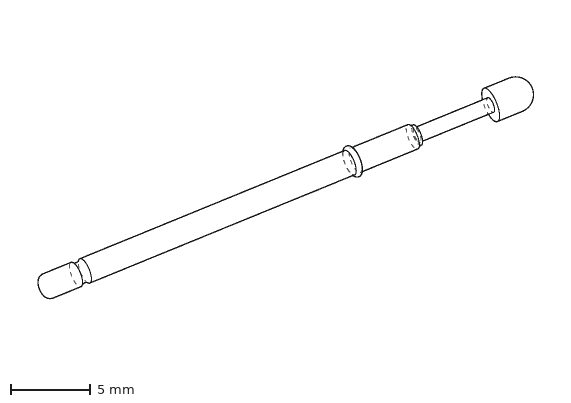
import cadquery as cq
import math

total_length = 35.7

head_diameter = 2.3
head_length = 2.95
plunger_diameter = 1.0
plunger_length = 5.35

barrel_diameter = 1.68
tail_rounding = 0.45

ring_diameter = 2.1
ring_center = 22.67

groove_center = 2.82
groove_width = 0.65
groove_depth = 0.15

head_radius = head_diameter / 2
plunger_radius = plunger_diameter / 2
barrel_radius = barrel_diameter / 2
ring_radius = ring_diameter / 2
bead_radius = ring_radius - barrel_radius

groove_half_width = groove_width / 2
hollow_radius = (groove_half_width**2 + groove_depth**2) / (2 * groove_depth)
floor_radius = barrel_radius - groove_depth

dome_base = total_length - head_radius
head_base = total_length - head_length
barrel_end = head_base - plunger_length
neck_start = barrel_end - groove_half_width


def hollow_middle(center, side):
    """Point halfway along one half of a hollow as (Y, radius); side is -1 or +1 along Y."""
    half_angle = math.asin(groove_half_width / hollow_radius) / 2
    y = center + side * hollow_radius * math.sin(half_angle)
    radius = floor_radius + hollow_radius * (1 - math.cos(half_angle))
    return y, radius


tail_arc_middle = (
    tail_rounding * (1 - math.sqrt(0.5)),
    barrel_radius - tail_rounding * (1 - math.sqrt(0.5)),
)
dome_arc_middle = (
    dome_base + head_radius * math.sqrt(0.5),
    head_radius * math.sqrt(0.5),
)

half_section = (
    cq.Workplane("YZ")
    .lineTo(0, barrel_radius - tail_rounding)
    .threePointArc(tail_arc_middle, (tail_rounding, barrel_radius))
    .lineTo(groove_center - groove_half_width, barrel_radius)
    .threePointArc(hollow_middle(groove_center, -1), (groove_center, floor_radius))
    .threePointArc(hollow_middle(groove_center, 1), (groove_center + groove_half_width, barrel_radius))
    .lineTo(ring_center - bead_radius, barrel_radius)
    .threePointArc((ring_center, ring_radius), (ring_center + bead_radius, barrel_radius))
    .lineTo(neck_start, barrel_radius)
    .threePointArc(hollow_middle(barrel_end, -1), (barrel_end, floor_radius))
    .lineTo(barrel_end, plunger_radius)
    .lineTo(head_base, plunger_radius)
    .lineTo(head_base, head_radius)
    .lineTo(dome_base, head_radius)
    .threePointArc(dome_arc_middle, (total_length, 0))
    .close()
)

result = half_section.revolve(360, (0, 0, 0), (1, 0, 0))